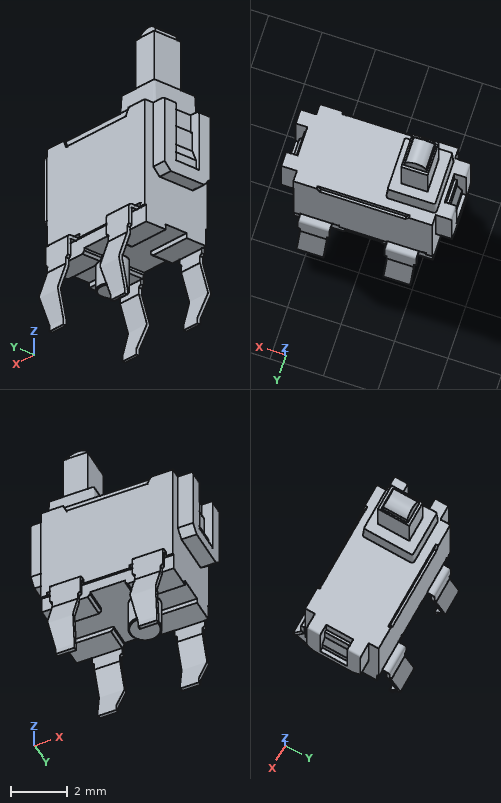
import cadquery as cq
import math


BODY_LENGTH = 5.2
BODY_WIDTH = 3.0
BODY_HEIGHT = 4.87
BASE_WIDTH = 2.87
BASE_HEIGHT = 0.67
RECESS_TOP_LENGTH = 3.45
RECESS_BOTTOM_LENGTH = 3.18
RECESS_HEIGHT = 0.3
RECESS_DEPTH = 0.1

CHANNEL_DEPTH = 0.2
CROSS_CHANNEL_LENGTH = 1.38
CROSS_CHANNEL_CHAMFER = 0.1
LONG_CHANNEL_WIDTH = 1.0

OVERALL_LENGTH = 6.4
EAR_WIDTH = 2.2
EAR_HEIGHT = 2.87
EAR_CHAMFER = 0.3
EAR_EDGE_RADIUS = 0.1
POCKET_WIDTH = 1.1
POCKET_HEIGHT = 2.35
POCKET_DEPTH = 0.45
STEP_DEPTH = 0.35
STEP_DROP = 0.74
RAMP_DEPTH = 0.16
RAMP_START_DROP = 1.48
RAMP_END_DROP = 1.92

PLUNGER_X = -1.65
COLLAR_LENGTH = 1.88
COLLAR_WIDTH = 2.1
COLLAR_HEIGHT = 1.0
COLLAR_CORNER_RADIUS = 0.11
COLLAR_DRAFT = 3
PLUNGER_LENGTH = 0.99
PLUNGER_WIDTH = 1.28
PLUNGER_HEIGHT = 2.22
TIP_LENGTH = 0.85
TIP_SHOULDER_LENGTH = 0.78
TIP_SHOULDER_HEIGHT = 0.2
TIP_HEIGHT = 0.39
TIP_BASE_WIDTH = 1.08
TIP_TOP_WIDTH = 0.93

POST_X = 0.78
POST_DIAMETER = 1.2
POST_LENGTH = 1.01
POST_CHAMFER = 0.05

LEAD_XS = (-1.5, 1.75)
LEAD_THICKNESS = 0.15
LEAD_SPAN = 3.63
OVERALL_WIDTH = 4.4
LEAD_BOTTOM_Z = -2.72
OUTER_KINK_Z = -1.42
LEAD_SLOPE = math.radians(20)
KINK_RADIUS = 0.18
SHOULDER_WIDTH = 1.19
NECK_WIDTH = 1.01
LEAD_END_WIDTH = 0.74
SHOULDER_CHAMFER = (SHOULDER_WIDTH - NECK_WIDTH) / 2
WINDOW_LENGTH = 0.27

BODY_END = BODY_LENGTH / 2
EAR_END = OVERALL_LENGTH / 2
LEAD_TOP_Z = BASE_HEIGHT + LEAD_THICKNESS


def box(length, width, height, x, z):
    """Box centred on (x, 0) and standing on height z."""
    return cq.Workplane("XY").box(length, width, height, (True, True, False)).translate((x, 0, z))


def across(points, width):
    """Outline of (x, z) points extruded along Y, centred on Y = 0."""
    return cq.Workplane("XZ").polyline(points).close().extrude(width / 2, both=True)


def make_body():
    base = box(BODY_LENGTH, BASE_WIDTH, BASE_HEIGHT, 0, 0)
    cover = box(BODY_LENGTH, BODY_WIDTH, BODY_HEIGHT - BASE_HEIGHT, 0, BASE_HEIGHT)
    body = base.union(cover)

    recess = across(
        [
            (-RECESS_TOP_LENGTH / 2, BODY_HEIGHT),
            (RECESS_TOP_LENGTH / 2, BODY_HEIGHT),
            (RECESS_BOTTOM_LENGTH / 2, BODY_HEIGHT - RECESS_HEIGHT),
            (-RECESS_BOTTOM_LENGTH / 2, BODY_HEIGHT - RECESS_HEIGHT),
        ],
        BODY_WIDTH,
    )
    core = box(BODY_LENGTH, BODY_WIDTH - 2 * RECESS_DEPTH, BODY_HEIGHT, 0, 0)
    body = body.cut(recess.cut(core))

    half = CROSS_CHANNEL_LENGTH / 2
    flare = half + CROSS_CHANNEL_CHAMFER
    cross_channel = across(
        [
            (-flare, 0),
            (-half, CROSS_CHANNEL_CHAMFER),
            (-half, CHANNEL_DEPTH),
            (half, CHANNEL_DEPTH),
            (half, CROSS_CHANNEL_CHAMFER),
            (flare, 0),
        ],
        BODY_WIDTH,
    )
    long_channel = box(BODY_LENGTH, LONG_CHANNEL_WIDTH, CHANNEL_DEPTH, 0, 0)
    body = body.cut(cross_channel).cut(long_channel)

    for lead_x in LEAD_XS:
        window_x = lead_x - (SHOULDER_WIDTH + WINDOW_LENGTH) / 2
        body = body.cut(box(WINDOW_LENGTH, BODY_WIDTH, LEAD_THICKNESS, window_x, BASE_HEIGHT))
    return body


def make_ear():
    """Ear on the -X end, open at the top and stepped inside."""
    ear_length = EAR_END - BODY_END
    ear = box(ear_length, EAR_WIDTH, EAR_HEIGHT, -(EAR_END + BODY_END) / 2, BODY_HEIGHT - EAR_HEIGHT)
    ear = ear.faces("<Z").edges("|X").chamfer(EAR_CHAMFER)
    ear = ear.faces(">Z").edges("<X").fillet(EAR_EDGE_RADIUS)
    pocket = across(
        [
            (-EAR_END, BODY_HEIGHT),
            (-EAR_END + POCKET_DEPTH, BODY_HEIGHT),
            (-EAR_END + POCKET_DEPTH, BODY_HEIGHT - STEP_DROP),
            (-EAR_END + STEP_DEPTH, BODY_HEIGHT - STEP_DROP),
            (-EAR_END + STEP_DEPTH, BODY_HEIGHT - RAMP_START_DROP),
            (-EAR_END + RAMP_DEPTH, BODY_HEIGHT - RAMP_END_DROP),
            (-EAR_END + RAMP_DEPTH, BODY_HEIGHT - POCKET_HEIGHT),
            (-EAR_END, BODY_HEIGHT - POCKET_HEIGHT),
        ],
        POCKET_WIDTH,
    )
    return ear.cut(pocket)


def make_plunger():
    collar = (
        cq.Workplane("XY")
        .sketch()
        .rect(COLLAR_LENGTH, COLLAR_WIDTH)
        .vertices()
        .fillet(COLLAR_CORNER_RADIUS)
        .finalize()
        .extrude(COLLAR_HEIGHT, taper=COLLAR_DRAFT)
        .translate((PLUNGER_X, 0, BODY_HEIGHT))
    )
    plunger_z = BODY_HEIGHT + COLLAR_HEIGHT
    plunger = box(PLUNGER_LENGTH, PLUNGER_WIDTH, PLUNGER_HEIGHT, PLUNGER_X, plunger_z)

    half = TIP_LENGTH / 2
    shoulder = TIP_SHOULDER_LENGTH / 2
    arch = (
        cq.Workplane("XZ")
        .moveTo(-half, 0)
        .lineTo(-shoulder, TIP_SHOULDER_HEIGHT)
        .threePointArc((0, TIP_HEIGHT), (shoulder, TIP_SHOULDER_HEIGHT))
        .lineTo(half, 0)
        .close()
        .extrude(TIP_BASE_WIDTH / 2, both=True)
    )
    sloping_ends = (
        cq.Workplane("YZ")
        .polyline(
            [
                (-TIP_BASE_WIDTH / 2, 0),
                (TIP_BASE_WIDTH / 2, 0),
                (TIP_TOP_WIDTH / 2, TIP_HEIGHT),
                (-TIP_TOP_WIDTH / 2, TIP_HEIGHT),
            ]
        )
        .close()
        .extrude(half, both=True)
    )
    tip = arch.intersect(sloping_ends).translate((PLUNGER_X, 0, plunger_z + PLUNGER_HEIGHT))
    return collar.union(plunger).union(tip)


def make_post():
    post = cq.Workplane("XY").circle(POST_DIAMETER / 2).extrude(CHANNEL_DEPTH + POST_LENGTH)
    return post.faces("<Z").chamfer(POST_CHAMFER).translate((POST_X, 0, -POST_LENGTH))


def round_bend(profile, y, z, radius):
    """Fillet the single edge along X that passes through (y, z)."""
    edge = profile.edges(cq.selectors.NearestToPointSelector((0, y, z)))
    return profile.newObject(edge.vals()).fillet(radius)


def make_lead(x):
    """Bent lead on the +Y side: a side profile trimmed by its face outline."""
    outer = LEAD_SPAN / 2
    inner = outer - LEAD_THICKNESS
    corner = OVERALL_WIDTH / 2 + KINK_RADIUS * (1 / math.cos(LEAD_SLOPE) - 1)
    rise = (corner - outer) / math.tan(LEAD_SLOPE)
    upper_kink_z = OUTER_KINK_Z + rise
    lower_kink_z = OUTER_KINK_Z - rise
    mitre = LEAD_THICKNESS * math.tan(LEAD_SLOPE / 2)
    inner_corner = corner - LEAD_THICKNESS / math.cos(LEAD_SLOPE)
    root = BASE_WIDTH / 2 - LEAD_THICKNESS
    profile = (
        cq.Workplane("YZ")
        .moveTo(root, BASE_HEIGHT)
        .lineTo(inner, BASE_HEIGHT)
        .lineTo(inner, upper_kink_z - mitre)
        .lineTo(inner_corner, OUTER_KINK_Z)
        .lineTo(inner, lower_kink_z + mitre)
        .lineTo(inner, LEAD_BOTTOM_Z)
        .lineTo(outer, LEAD_BOTTOM_Z)
        .lineTo(outer, lower_kink_z)
        .lineTo(corner, OUTER_KINK_Z)
        .lineTo(outer, upper_kink_z)
        .lineTo(outer, LEAD_TOP_Z - LEAD_THICKNESS)
        .radiusArc((inner, LEAD_TOP_Z), -LEAD_THICKNESS)
        .lineTo(root, LEAD_TOP_Z)
        .close()
        .extrude(SHOULDER_WIDTH / 2, both=True)
    )
    inside_radius = KINK_RADIUS - LEAD_THICKNESS
    profile = round_bend(profile, corner, OUTER_KINK_Z, KINK_RADIUS)
    profile = round_bend(profile, inner_corner, OUTER_KINK_Z, inside_radius)
    profile = round_bend(profile, inner, lower_kink_z + mitre, KINK_RADIUS)
    profile = round_bend(profile, outer, lower_kink_z, inside_radius)
    right_side = [
        (SHOULDER_WIDTH / 2, LEAD_TOP_Z),
        (SHOULDER_WIDTH / 2, 0),
        (NECK_WIDTH / 2, -SHOULDER_CHAMFER),
        (NECK_WIDTH / 2, OUTER_KINK_Z),
        (LEAD_END_WIDTH / 2, lower_kink_z),
        (LEAD_END_WIDTH / 2, LEAD_BOTTOM_Z),
    ]
    left_side = [(-px, pz) for px, pz in reversed(right_side)]
    outline = across(right_side + left_side, OVERALL_WIDTH)
    return profile.intersect(outline).translate((x, 0, 0))


ear = make_ear()
result = make_body().union(ear).union(ear.mirror("YZ")).union(make_plunger()).union(make_post())
for lead_x in LEAD_XS:
    lead = make_lead(lead_x)
    result = result.union(lead).union(lead.mirror("XZ"))